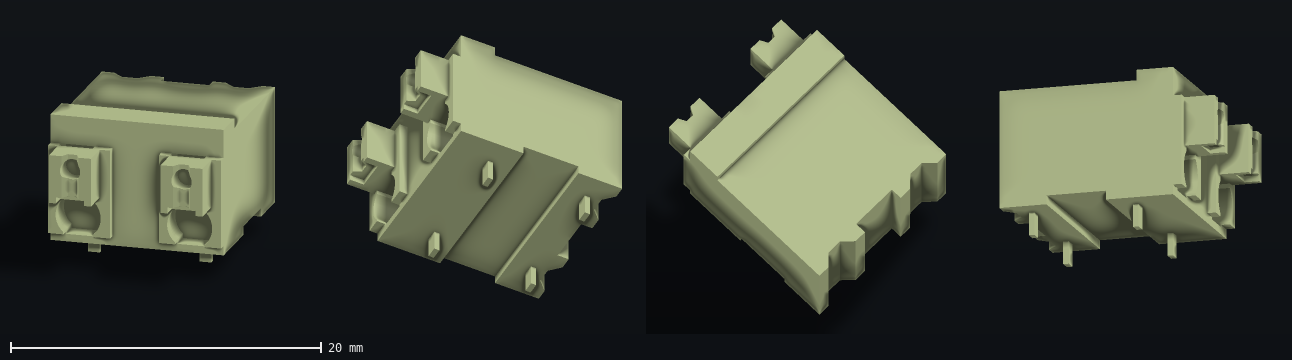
import cadquery as cq


pole_pitch = 7.5
pole_centers = [-pole_pitch / 2, pole_pitch / 2]

overall_length = 14.3

housing_width = 11.63
housing_length = 11.71
body_height = 7.8
ridge_height = 8.5
ridge_length = 2.47

channel_front = 4.53
channel_rear = 8.54
channel_height = 0.59

frame_width = 4.18
frame_depth = 0.59
frame_bottom = 0.65
frame_top = 6.59
frame_spacing = housing_width - frame_width

center_recess_width = housing_width - 2 * frame_width
center_recess_depth = 0.8
rear_notch_outer_width = 2.49
rear_notch_inner_width = 1.05
rear_notch_depth = 0.7

cavity_rear = 1.32
wire_offset = -0.05
wire_radius = 1.52
wire_center_height = 1.93
wire_slot_width = 2
wire_floor = 0.5

button_width = 2.82
button_bottom = 3.36
button_front = housing_length - overall_length
button_rear = -0.47
arm_width = 0.51
base_thickness = 0.4
groove_outer_width = 1.15
groove_inner_width = 0.6
groove_depth = 0.53
tool_hole_radius = 0.69
tool_hole_height = 5.6
tool_hole_depth = 1.43
foot_notch_width = 1.89
foot_notch_height = 0.4
foot_notch_depth = 1

pin_width = 0.79
pin_thickness = 0.37
pin_length = 1.5
pin_rows = [3.02, 10.05]


def box(x_center, width, y_front, y_rear, z_bottom, z_top):
    """Box centred on x_center that spans the given Y and Z ranges."""
    block = cq.Workplane("XY").box(width, y_rear - y_front, z_top - z_bottom, centered=(True, False, False))
    return block.translate((x_center, y_front, z_bottom))


def cylinder_along_y(x, z, radius, y_front, y_rear):
    """Cylinder with its axis along +Y."""
    axis_start = cq.Vector(x, y_front, z)
    return cq.Workplane(cq.Solid.makeCylinder(radius, y_rear - y_front, axis_start, cq.Vector(0, 1, 0)))


def tapered_notch(x, y_mouth, y_end, mouth_width, end_width, z_bottom, z_top):
    """Trapezoidal prism along Z that narrows from y_mouth to y_end."""
    outline = [
        (x - mouth_width / 2, y_mouth),
        (x + mouth_width / 2, y_mouth),
        (x + end_width / 2, y_end),
        (x - end_width / 2, y_end),
    ]
    return cq.Workplane("XY").workplane(offset=z_bottom).polyline(outline).close().extrude(z_top - z_bottom)


def wire_opening(pole_x):
    """Round wire funnel with a straight slot through it from the floor up to the button."""
    x = pole_x + wire_offset
    funnel = cylinder_along_y(x, wire_center_height, wire_radius, -frame_depth, cavity_rear)
    slot = box(x, wire_slot_width, -frame_depth, cavity_rear, wire_floor, button_bottom)
    below_floor = box(x, 2 * wire_radius, -frame_depth, cavity_rear, wire_center_height - wire_radius, wire_floor)
    return funnel.union(slot).cut(below_floor)


def make_housing():
    body = box(0, housing_width, 0, housing_length, 0, body_height)
    body = body.union(box(0, housing_width, 0, ridge_length, 0, ridge_height))
    body = body.cut(box(0, housing_width, channel_front, channel_rear, 0, channel_height))

    recess_front = housing_length - center_recess_depth
    body = body.cut(box(0, center_recess_width, recess_front, housing_length, 0, body_height))

    for side in (-1, 1):
        frame_x = side * frame_spacing / 2
        body = body.union(box(frame_x, frame_width, -frame_depth, 0, frame_bottom, frame_top))

    for pole_x in pole_centers:
        body = body.cut(tapered_notch(
            pole_x, housing_length, housing_length - rear_notch_depth,
            rear_notch_outer_width, rear_notch_inner_width, 0, body_height,
        ))
        body = body.cut(box(pole_x, button_width, -frame_depth, cavity_rear, button_bottom, frame_top))
        body = body.cut(wire_opening(pole_x))
    return body


def make_button(pole_x):
    """Push block with a guide arm on its +X side and a base plate, both reaching back into the housing."""
    button = box(pole_x, button_width, button_front, button_rear, button_bottom, frame_top)
    arm_x = pole_x + (button_width - arm_width) / 2
    button = button.union(box(arm_x, arm_width, button_rear, cavity_rear, button_bottom, frame_top))
    button = button.union(box(
        pole_x, button_width, button_rear, cavity_rear, button_bottom, button_bottom + base_thickness,
    ))

    button = button.cut(tapered_notch(
        pole_x, button_front, button_front + groove_depth,
        groove_outer_width, groove_inner_width, button_bottom, frame_top,
    ))
    hole_end = button_front + tool_hole_depth
    button = button.cut(cylinder_along_y(pole_x, tool_hole_height, tool_hole_radius, button_front, hole_end))

    notch_end = button_front + foot_notch_depth
    notch_top = button_bottom + foot_notch_height
    return button.cut(box(pole_x, foot_notch_width, button_front, notch_end, button_bottom, notch_top))


def make_pin(x, y):
    """Flat solder pin that hangs from the housing underside."""
    return box(x, pin_width, y - pin_thickness / 2, y + pin_thickness / 2, -pin_length, 0)


housing = make_housing()
buttons = [make_button(x) for x in pole_centers]
pins = [make_pin(x, y) for x in pole_centers for y in pin_rows]

result = cq.Compound.makeCompound([part.val() for part in [housing, *buttons, *pins]])